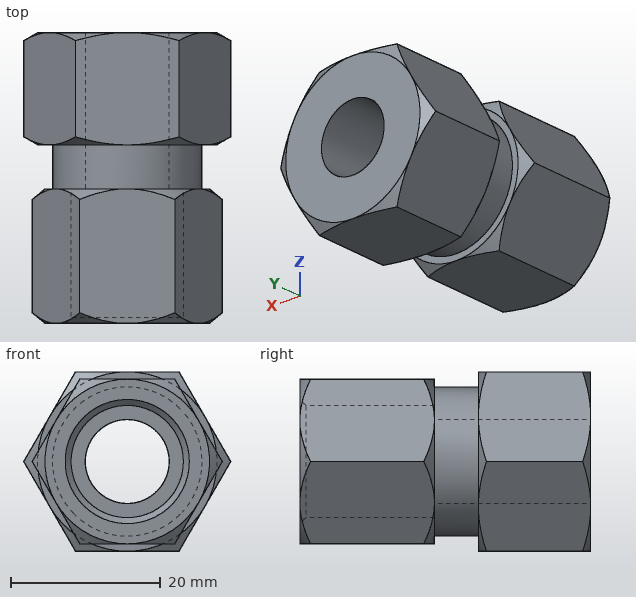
import cadquery as cq
import math

total_length = 38.9
front_nut_length = 18.0
front_nut_flats = 22.0
rear_nut_length = 15.0
rear_nut_flats = 24.0
neck_diameter = 20.0
socket_diameter = 15.0
socket_mouth_diameter = 16.6
socket_mouth_angle = 45.0
socket_depth = front_nut_length
bore_diameter = 11.2
front_bevel_angle = 40.0
rear_bevel_angle = 30.0

front_end = -total_length / 2
rear_end = total_length / 2


def revolve_about_y(points):
    """Revolve a closed (radius, y) outline about the Y axis."""
    return cq.Workplane("XY").polyline(points).close().revolve(360, (0, 0, 0), (0, 1, 0))


def hex_nut(start, length, flats, bevel_angle):
    """Hexagon with corners on +X and -X, bevelled down to its flats circle at both ends."""
    flat_radius = flats / 2
    corner_radius = flats / math.sqrt(3)
    corner_height = corner_radius - flat_radius
    bevel_length = corner_height * math.tan(math.radians(bevel_angle))
    end = start + length
    prism = (
        cq.Workplane("XZ", origin=(0, start, 0))
        .polygon(6, 2 * corner_radius)
        .extrude(-length)
    )
    envelope = revolve_about_y([
        (0, start),
        (flat_radius, start),
        (corner_radius, start + bevel_length),
        (corner_radius, end - bevel_length),
        (flat_radius, end),
        (0, end),
    ])
    return prism.intersect(envelope)


def cylinder(diameter, start, end):
    """Cylinder on the Y axis."""
    return cq.Workplane("XZ", origin=(0, start, 0)).circle(diameter / 2).extrude(start - end)


def passage():
    """Flared socket in the front end, stepping down to the through bore."""
    mouth_radius = socket_mouth_diameter / 2
    socket_radius = socket_diameter / 2
    bore_radius = bore_diameter / 2
    mouth_depth = (mouth_radius - socket_radius) / math.tan(math.radians(socket_mouth_angle))
    socket_end = front_end + socket_depth
    return revolve_about_y([
        (0, front_end),
        (mouth_radius, front_end),
        (socket_radius, front_end + mouth_depth),
        (socket_radius, socket_end),
        (bore_radius, socket_end),
        (bore_radius, rear_end),
        (0, rear_end),
    ])


front_nut = hex_nut(front_end, front_nut_length, front_nut_flats, front_bevel_angle)
rear_nut = hex_nut(rear_end - rear_nut_length, rear_nut_length, rear_nut_flats, rear_bevel_angle)
neck = cylinder(neck_diameter, front_end + front_nut_length, rear_end - rear_nut_length)

result = front_nut.union(neck).union(rear_nut).cut(passage())